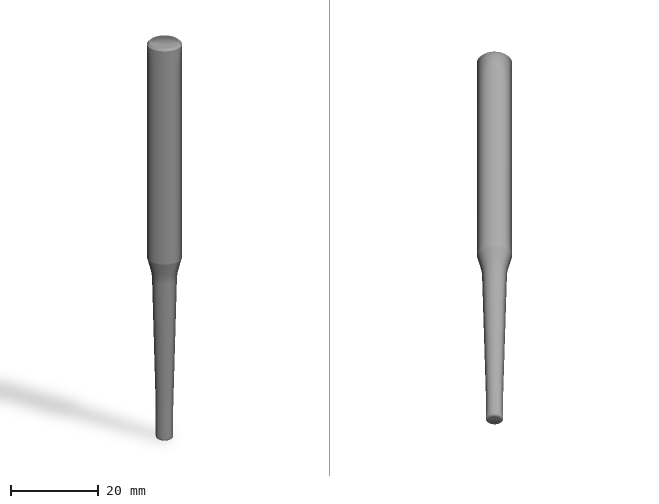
import cadquery as cq
import math

total_length = 100.0
shank_radius = 4.0
tip_radius = 2.0

tip_length = 4.8
tip_corner_radius = 0.5
straight_neck_top = 8.0
shank_bottom = 45.6
shank_chamfer = 0.5

neck_taper_angle = math.radians(1.5)
shoulder_angle = math.radians(15)
blend_radius = 10.0

blend_height = blend_radius * (math.sin(shoulder_angle) - math.sin(neck_taper_angle))
blend_width = blend_radius * (math.cos(neck_taper_angle) - math.cos(shoulder_angle))

taper_slope = math.tan(neck_taper_angle)
shoulder_slope = math.tan(shoulder_angle)
cones_height = shank_bottom - straight_neck_top - blend_height
cones_width = shank_radius - tip_radius - blend_width
shoulder_height = (cones_width - taper_slope * cones_height) / (shoulder_slope - taper_slope)
taper_height = cones_height - shoulder_height

blend_start_radius = tip_radius + taper_slope * taper_height
blend_start_z = straight_neck_top + taper_height
blend_end_radius = blend_start_radius + blend_width
blend_end_z = blend_start_z + blend_height

blend_middle_angle = (neck_taper_angle + shoulder_angle) / 2
blend_center_radius = blend_start_radius + blend_radius * math.cos(neck_taper_angle)
blend_center_z = blend_start_z - blend_radius * math.sin(neck_taper_angle)
blend_middle = (
    blend_center_radius - blend_radius * math.cos(blend_middle_angle),
    blend_center_z + blend_radius * math.sin(blend_middle_angle),
)


def make_cutting_tip():
    """Cylindrical tip with a rounded bottom corner."""
    return cq.Workplane("XY").circle(tip_radius).extrude(tip_length).faces("<Z").edges().fillet(tip_corner_radius)


def make_shank():
    """Straight neck, tapered neck, blended shoulder and chamfered cylindrical shank."""
    profile = (
        cq.Workplane("XZ")
        .moveTo(0, tip_length)
        .lineTo(tip_radius, tip_length)
        .lineTo(tip_radius, straight_neck_top)
        .lineTo(blend_start_radius, blend_start_z)
        .threePointArc(blend_middle, (blend_end_radius, blend_end_z))
        .lineTo(shank_radius, shank_bottom)
        .lineTo(shank_radius, total_length)
        .lineTo(0, total_length)
        .close()
    )
    return profile.revolve(360, (0, 0, 0), (0, 1, 0)).faces(">Z").edges().chamfer(shank_chamfer)


cutting_tip = make_cutting_tip()
shank = make_shank()

result = cq.Compound.makeCompound([cutting_tip.val(), shank.val()])